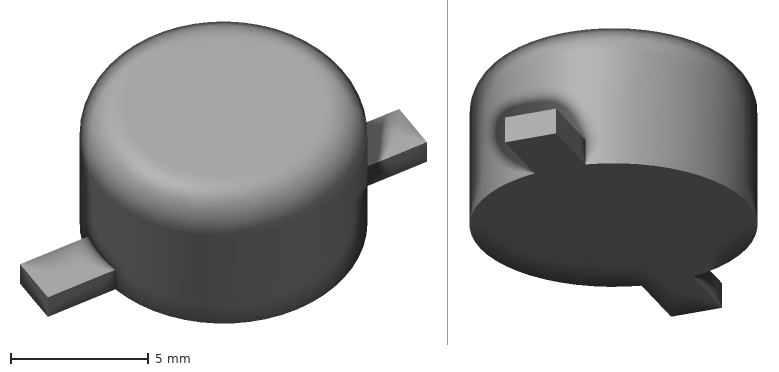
import cadquery as cq

cap_diameter = 10.5
cap_height = 6.0
top_edge_radius = cap_height / 4

tab_span = 16.0
tab_width = 2.0
tab_thickness = tab_width / 2


def make_cap():
    """Cylinder with a rounded top edge, standing on Z = 0."""
    cylinder = cq.Workplane("XY").circle(cap_diameter / 2).extrude(cap_height)
    return cylinder.faces(">Z").edges().fillet(top_edge_radius)


def make_tabs():
    """One bar along Y through the cap, whose ends form both tabs."""
    return cq.Workplane("XY").rect(tab_width, tab_span).extrude(tab_thickness)


result = make_cap().union(make_tabs())